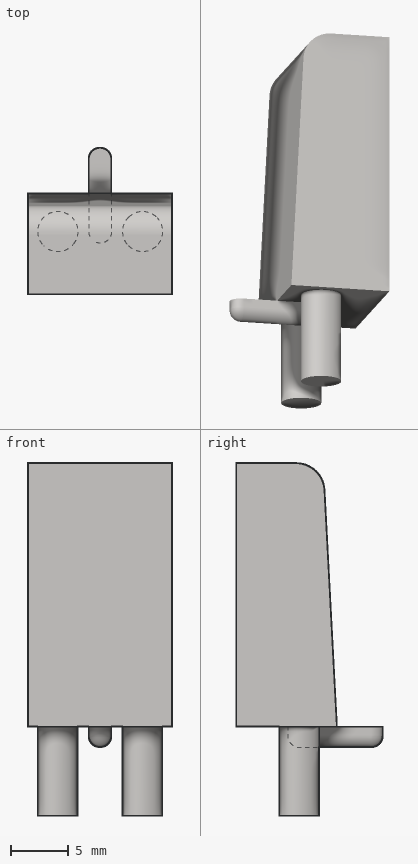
import cadquery as cq
import math

housing_width = 12.6
housing_depth = 8.8
housing_height = 23.0
back_slope_angle = 3.0
top_edge_radius = 2.5

pin_diameter = 3.5
pin_length = 7.8
pin_spacing = 7.4
pin_to_front = 5.5

tongue_width = 2.0
tongue_height = 1.8
tongue_overhang = 4.0

front_y = -pin_to_front
back_y = front_y + housing_depth
tongue_radius = tongue_width / 2


def make_housing():
    top_back_y = back_y - housing_height * math.tan(math.radians(back_slope_angle))
    profile = [
        (front_y, 0),
        (back_y, 0),
        (top_back_y, housing_height),
        (front_y, housing_height),
    ]
    block = cq.Workplane("YZ").polyline(profile).close().extrude(housing_width / 2, both=True)
    return block.edges(">Z").edges(">Y").fillet(top_edge_radius)


def make_pin(center_x):
    return cq.Workplane("XY").center(center_x, 0).circle(pin_diameter / 2).extrude(-pin_length)


def make_tongue():
    """Slot-shaped bar with straight upper sides, a half-round underside and ball-shaped ends."""
    near_end_y = 0.0
    far_end_y = back_y + tongue_overhang - tongue_radius
    straight_length = far_end_y - near_end_y
    straight_height = tongue_height - tongue_radius
    middle_y = (near_end_y + far_end_y) / 2

    bar = (
        cq.Workplane("XY")
        .center(0, middle_y)
        .slot2D(straight_length + tongue_width, tongue_width, 90)
        .extrude(-straight_height)
    )
    underside = (
        cq.Workplane("XZ", origin=(0, far_end_y, -straight_height))
        .circle(tongue_radius)
        .extrude(straight_length)
    )
    for end_y in (near_end_y, far_end_y):
        ball = cq.Workplane("XY", origin=(0, end_y, -straight_height)).sphere(tongue_radius)
        underside = underside.union(ball)

    lower_half = (
        cq.Workplane("XY", origin=(0, middle_y, -straight_height))
        .rect(tongue_width, straight_length + tongue_width)
        .extrude(-tongue_radius)
    )
    return bar.union(underside.intersect(lower_half))


result = make_housing().union(make_tongue())
for side in (-1, 1):
    result = result.union(make_pin(side * pin_spacing / 2))